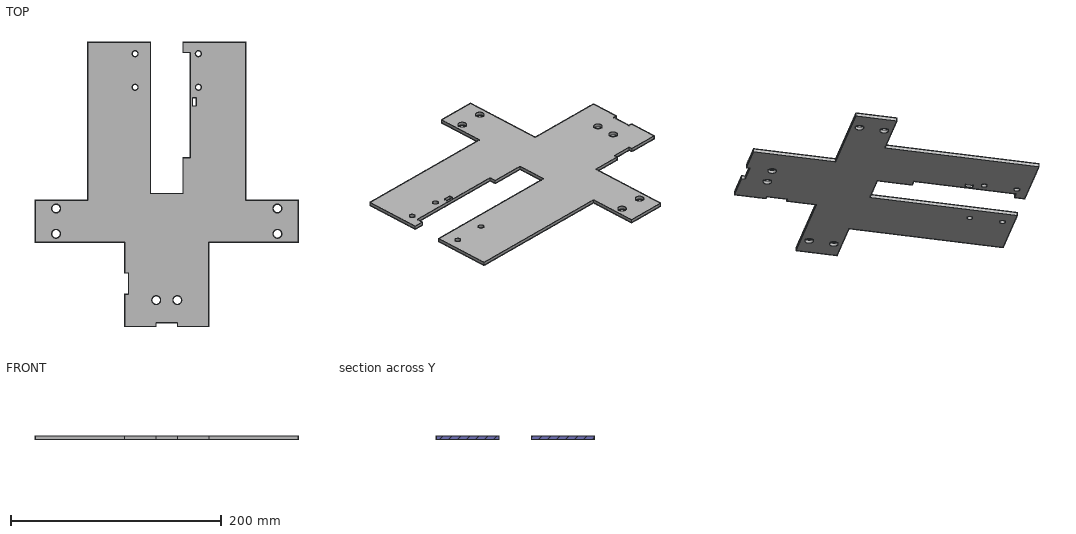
import cadquery as cq

LENGTH = 270.0
SPAN = 250.0
THICKNESS = 3.5

STEM_WIDTH = 80.0
CROSSBAR_BOTTOM = 80.0
CROSSBAR_TOP = 120.0
LEGS_WIDTH = 150.0

GAP_WIDTH = 30.8
GAP_BOTTOM = 126.4
RECESS_DEPTH = 6.8
RECESS_BOTTOM = 160.5
RECESS_TOP = 260.0

NOTCH_LENGTH = 20.0
NOTCH_DEPTH = THICKNESS
SIDE_NOTCH_BOTTOM = 30.8

WINDOW_WIDTH = THICKNESS
WINDOW_HEIGHT = 7.5
WINDOW_CENTER = (26.2, 213.3)

LEG_HOLE_DIAMETER = 5.5
LEG_HOLE_X = 30.0
LEG_HOLE_ROWS = (227.0, 259.0)
MOUNT_HOLE_DIAMETER = 8.0
CROSSBAR_HOLE_X = 105.0
CROSSBAR_HOLE_ROWS = (88.0, 112.0)
STEM_HOLE_X = 10.0
STEM_HOLE_ROWS = (25.0,)


def box_between(x_min, x_max, y_min, y_max):
    """Full-thickness block between the given X and Y limits."""
    return cq.Workplane("XY").box(
        x_max - x_min, y_max - y_min, THICKNESS, centered=False
    ).translate((x_min, y_min, 0))


def centered_strip(width, y_min, y_max):
    """Full-thickness block of the given width, centred on X."""
    return box_between(-width / 2, width / 2, y_min, y_max)


def hole_pairs(diameter, x_offset, rows):
    """Cutting cylinders at both sides of the Y axis on every row."""
    centers = [(side * x_offset, y) for side in (-1, 1) for y in rows]
    return cq.Workplane("XY").pushPoints(centers).circle(diameter / 2).extrude(THICKNESS)


plate = centered_strip(STEM_WIDTH, 0, CROSSBAR_BOTTOM)
plate = plate.union(centered_strip(SPAN, CROSSBAR_BOTTOM, CROSSBAR_TOP))
plate = plate.union(centered_strip(LEGS_WIDTH, CROSSBAR_TOP, LENGTH))

plate = plate.cut(centered_strip(GAP_WIDTH, GAP_BOTTOM, LENGTH))
gap_right = GAP_WIDTH / 2
plate = plate.cut(box_between(gap_right, gap_right + RECESS_DEPTH, RECESS_BOTTOM, RECESS_TOP))

plate = plate.cut(centered_strip(NOTCH_LENGTH, 0, NOTCH_DEPTH))
stem_left = -STEM_WIDTH / 2
side_notch_top = SIDE_NOTCH_BOTTOM + NOTCH_LENGTH
plate = plate.cut(box_between(stem_left, stem_left + NOTCH_DEPTH, SIDE_NOTCH_BOTTOM, side_notch_top))

window = cq.Workplane("XY").center(*WINDOW_CENTER).rect(WINDOW_WIDTH, WINDOW_HEIGHT).extrude(THICKNESS)
plate = plate.cut(window)

plate = plate.cut(hole_pairs(LEG_HOLE_DIAMETER, LEG_HOLE_X, LEG_HOLE_ROWS))
plate = plate.cut(hole_pairs(MOUNT_HOLE_DIAMETER, CROSSBAR_HOLE_X, CROSSBAR_HOLE_ROWS))
plate = plate.cut(hole_pairs(MOUNT_HOLE_DIAMETER, STEM_HOLE_X, STEM_HOLE_ROWS))

result = plate.clean()